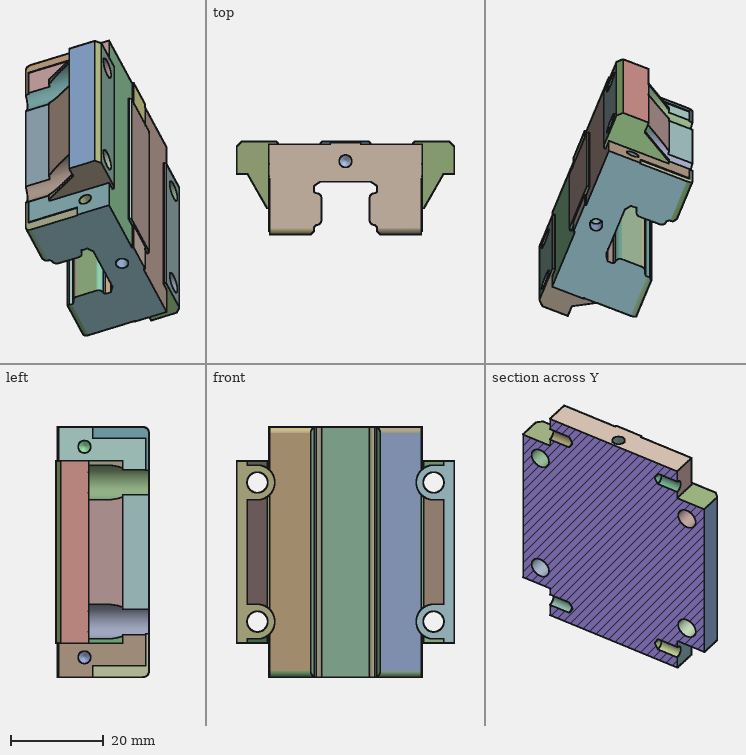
import cadquery as cq
import math


overall_width = 47.0
overall_height = 20.1
overall_length = 54.0

body_width = 33.0
body_top = 19.5
end_edge_radius = 1.35

ridge_width = 6.6
ridge_top = 19.85

flange_length = 39.3
flange_underside = 13.05
flange_top_chamfer = 1.1
flange_lip_width = 2.35
flange_slope_bottom = 5.65
flange_slope_gap = 0.4

pad_inner_x = 14.55
center_pad_half_width = 5.4
pad_chamfer = 0.35

mouth_half_width = 7.5
groove_half_width = 6.75
land_half_width = 5.15
roof_half_width = 5.45
mouth_chamfer = mouth_half_width - groove_half_width
land_bottom = 2.05
land_top = 8.95
lower_bevel = 0.45
upper_bevel = 0.25
groove_shoulder = 10.5
roof_height = 11.4

mount_spacing_x = 38.0
mount_spacing_z = 30.0
mount_hole_diameter = 4.4
spot_face_radius = 3.75

grease_hole_diameter = 2.7
grease_hole_depth = 5.0
drill_point_angle = 118.0
end_hole_height = 15.85
side_hole_height = 13.95
side_hole_z = 22.7

relief_depth = 0.15
end_seal_height = 12.1
end_seal_thickness = 2.5
bottom_seal_thickness = 0.75

half_length = overall_length / 2
half_body = body_width / 2


def box(x_range, y_range, z_range):
    """Box between the given limits."""
    size = [high - low for low, high in (x_range, y_range, z_range)]
    corner = cq.Vector(x_range[0], y_range[0], z_range[0])
    return cq.Workplane("XY").box(*size, centered=False).translate(corner)


def extrude_centered(outline, length):
    """Extrude a closed XY outline along Z, half to each side of Z = 0."""
    return outline.extrude(length / 2, both=True)


def mirrored_pair(shape):
    """The shape together with its mirror image across X = 0."""
    return shape.union(shape.mirror("YZ"))


def make_body():
    """Central block with rounded lower end edges and a shallow ridge on top."""
    z_range = (-half_length, half_length)
    block = box((-half_body, half_body), (0, body_top), z_range)
    block = block.faces("<Y").edges("|X").fillet(end_edge_radius)
    ridge = box((-ridge_width / 2, ridge_width / 2), (body_top, ridge_top), z_range)
    return block.union(ridge)


def make_side_relief():
    """Thin slabs that set the seals and the middle stretch back from the -X side."""
    x_range = (-half_body, -half_body + relief_depth)
    seal_inner_z = half_length - end_seal_thickness
    relief = box(x_range, (0, bottom_seal_thickness), (-half_length, half_length))
    relief = relief.union(
        box(x_range, (0, flange_slope_bottom), (-mount_spacing_z / 2, mount_spacing_z / 2))
    )
    for z_range in ((-half_length, -seal_inner_z), (seal_inner_z, half_length)):
        relief = relief.union(box(x_range, (0, end_seal_height), z_range))
    return relief


def make_flange():
    """-X flange with its mounting pad and sloped underside."""
    outer_x = -overall_width / 2
    outline = (
        cq.Workplane("XY")
        .moveTo(outer_x, flange_underside)
        .lineTo(outer_x, overall_height - flange_top_chamfer)
        .lineTo(outer_x + flange_top_chamfer, overall_height)
        .lineTo(-pad_inner_x - pad_chamfer, overall_height)
        .lineTo(-pad_inner_x, overall_height - pad_chamfer)
        .lineTo(-pad_inner_x, flange_slope_bottom)
        .lineTo(-half_body - flange_slope_gap, flange_slope_bottom)
        .lineTo(outer_x + flange_lip_width, flange_underside)
        .close()
    )
    return extrude_centered(outline, flange_length)


def make_center_pad():
    """Raised pad along the middle of the mounting face."""
    pad = box(
        (-center_pad_half_width, center_pad_half_width),
        (body_top, overall_height),
        (-flange_length / 2, flange_length / 2),
    )
    return pad.faces(">Y").edges("|Z").chamfer(pad_chamfer)


def make_rail_channel():
    """Rail channel cutter; one half of its outline is drawn and then mirrored."""
    bevel_half_width = groove_half_width - lower_bevel
    land_radius = bevel_half_width - land_half_width
    arc_offset = land_radius * math.sqrt(0.5)
    lower_arc_y = land_bottom + land_radius
    upper_arc_y = land_top - land_radius
    outline = (
        cq.Workplane("XY")
        .moveTo(0, 0)
        .lineTo(mouth_half_width, 0)
        .lineTo(groove_half_width, mouth_chamfer)
        .lineTo(groove_half_width, land_bottom - lower_bevel)
        .lineTo(bevel_half_width, land_bottom)
        .threePointArc(
            (bevel_half_width - arc_offset, lower_arc_y - arc_offset),
            (land_half_width, lower_arc_y),
        )
        .lineTo(land_half_width, upper_arc_y)
        .threePointArc(
            (bevel_half_width - arc_offset, upper_arc_y + arc_offset),
            (bevel_half_width, land_top),
        )
        .lineTo(groove_half_width, land_top + upper_bevel)
        .lineTo(groove_half_width, groove_shoulder)
        .lineTo(roof_half_width, roof_height)
        .lineTo(0, roof_height)
        .close()
    )
    return mirrored_pair(extrude_centered(outline, overall_length))


def make_mount_cutters():
    """Through holes and open-sided spot faces of the -X flange."""
    hole_x = -mount_spacing_x / 2
    cutters = cq.Workplane("XY")
    for z in (-mount_spacing_z / 2, mount_spacing_z / 2):
        hole = (
            cq.Workplane("XZ", origin=(hole_x, 0, z))
            .circle(mount_hole_diameter / 2)
            .extrude(-overall_height)
        )
        round_end = (
            cq.Workplane("XZ", origin=(hole_x, 0, z))
            .circle(spot_face_radius)
            .extrude(-flange_underside)
        )
        open_side = box(
            (-overall_width / 2, hole_x),
            (0, flange_underside),
            (z - spot_face_radius, z + spot_face_radius),
        )
        cutters = cutters.union(hole).union(round_end).union(open_side)
    return cutters


def drilled_hole(entry, direction):
    """Blind grease hole with a conical drill point."""
    radius = grease_hole_diameter / 2
    point_length = radius / math.tan(math.radians(drill_point_angle / 2))
    start = cq.Vector(*entry)
    axis = cq.Vector(*direction)
    cone_start = start + axis * grease_hole_depth
    bore = cq.Solid.makeCylinder(radius, grease_hole_depth, start, axis)
    point = cq.Solid.makeCone(radius, 0, point_length, cone_start, axis)
    return cq.Workplane(bore).union(cq.Workplane(point))


def make_grease_holes():
    """One grease hole in each end face and one in each body side near each end."""
    holes = cq.Workplane("XY")
    for sign in (-1, 1):
        end_hole = drilled_hole((0, end_hole_height, sign * half_length), (0, 0, -sign))
        side_hole = drilled_hole((-half_body, side_hole_height, sign * side_hole_z), (1, 0, 0))
        holes = holes.union(end_hole).union(mirrored_pair(side_hole))
    return holes


result = (
    make_body()
    .cut(mirrored_pair(make_side_relief()))
    .union(mirrored_pair(make_flange()))
    .union(make_center_pad())
    .cut(make_rail_channel())
    .cut(mirrored_pair(make_mount_cutters()))
    .cut(make_grease_holes())
)